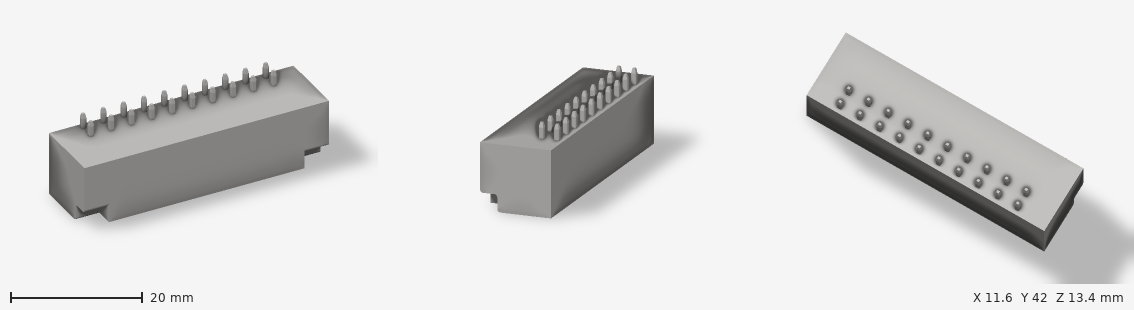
import cadquery as cq

length = 42.0
width = 11.6
total_height = 13.4
pin_height = 2.6
housing_height = total_height - pin_height

notch_size = 2.8
notch_radius = 0.5
notch_depth = 4.2

pin_rows = 2
pins_per_row = 10
row_spacing = 2.5
pin_pitch = 3.5
first_row_offset = 1.1
pin_width = 0.8
pin_edge_chamfer = 0.13
tip_width = 0.4
tip_height = 0.8
pin_embed = 0.4


def make_housing_core():
    """Full rectangular section between the two notched ends."""
    core_length = length - 2 * notch_depth
    return cq.Workplane("XY").box(width, core_length, housing_height, centered=(False, True, False))


def make_notched_end(y_start):
    """End block with a rounded step cut from its lower +X corner."""
    step_x = width - notch_size
    block = (
        cq.Workplane("XZ", origin=(0, y_start, 0))
        .moveTo(0, 0)
        .lineTo(step_x, 0)
        .lineTo(step_x, notch_size)
        .lineTo(width, notch_size)
        .lineTo(width, housing_height)
        .lineTo(0, housing_height)
        .close()
        .extrude(-notch_depth)
    )
    y_middle = y_start + notch_depth / 2
    step_corners = [(step_x, 0), (step_x, notch_size), (width, notch_size)]
    for corner_x, corner_z in step_corners:
        corner = cq.selectors.NearestToPointSelector((corner_x, y_middle, corner_z))
        block = block.edges("|Y").edges(corner).fillet(notch_radius)
    return block


def make_pin():
    """Square pin with bevelled edges and a pyramidal tip, rooted below z = 0."""
    shaft_height = pin_height - tip_height
    shaft = (
        cq.Workplane("XY", origin=(0, 0, -pin_embed))
        .rect(pin_width, pin_width)
        .extrude(pin_embed + shaft_height)
    )
    tip = (
        cq.Workplane("XY", origin=(0, 0, shaft_height))
        .rect(pin_width, pin_width)
        .workplane(offset=tip_height)
        .rect(tip_width, tip_width)
        .loft(ruled=True)
    )
    bevelled_bar = (
        cq.Workplane("XY", origin=(0, 0, -pin_embed))
        .rect(pin_width, pin_width)
        .extrude(pin_embed + pin_height)
        .edges("|Z")
        .chamfer(pin_edge_chamfer)
    )
    return shaft.union(tip).intersect(bevelled_bar)


housing = make_housing_core()
for end_start in (-length / 2, length / 2 - notch_depth):
    housing = housing.union(make_notched_end(end_start))

result = housing
pin = make_pin()
for row in range(pin_rows):
    pin_x = first_row_offset + row * row_spacing
    for index in range(pins_per_row):
        pin_y = (index - (pins_per_row - 1) / 2) * pin_pitch
        result = result.union(pin.translate((pin_x, pin_y, housing_height)))
result = result.clean()